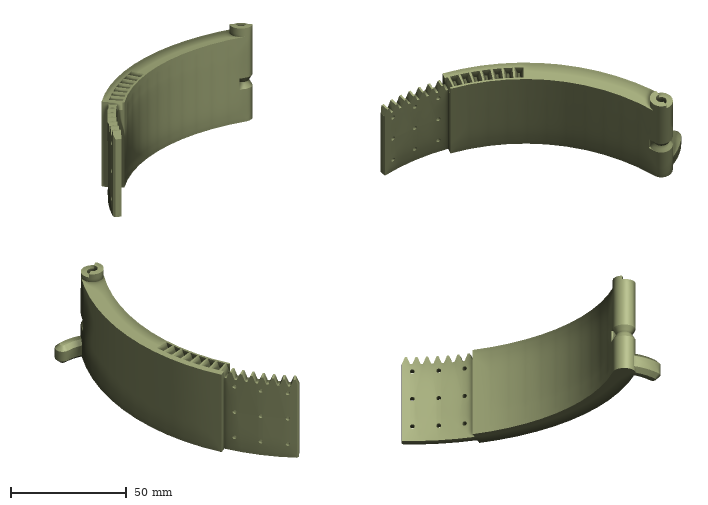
import cadquery as cq
import math

HINGE_DIAMETER = 10.0
HINGE_RADIUS = HINGE_DIAMETER / 2
HINGE_HEIGHT = 44.0
STEP_HEIGHT = 1.7
STEP_ANGLE = 56.0
BORE_DIAMETER = 4.6
BORE_DEPTH = 10.0
BORE_TIP_DIAMETER = 3.4
BORE_TIP_DEPTH = 19.9

ARC_RADIUS = 95.5
HINGE_ANGLE = 171.0
BODY_SPAN = 59.0
BODY_END_ANGLE = HINGE_ANGLE + BODY_SPAN
BODY_HEIGHT = 40.0
BODY_OUTER_RADIUS = ARC_RADIUS + HINGE_RADIUS
BODY_INNER_RADIUS = ARC_RADIUS - HINGE_RADIUS
BODY_BOTTOM_CHAMFER = 0.3

PLATE_OUTER_RADIUS = 97.1
PLATE_THICKNESS = 3.7
PLATE_INNER_RADIUS = PLATE_OUTER_RADIUS - PLATE_THICKNESS
PLATE_SPAN = 19.6
PLATE_END_ANGLE = BODY_END_ANGLE + PLATE_SPAN
PLATE_OVERLAP = 0.5
PLATE_END_CHAMFER = 0.9

TEETH_PER_SPAN = 7
TOOTH_PITCH = PLATE_SPAN / TEETH_PER_SPAN
RACK_OFFSET = 0.3
FIRST_GAP_ANGLE = BODY_END_ANGLE - PLATE_SPAN + RACK_OFFSET
GAP_DEPTH = 3.4
GAP_TOP_WIDTH = 3.8
GAP_BOTTOM_WIDTH = 1.0
RACK_OUTER_RADIUS = 97.5
RACK_INNER_RADIUS = 91.4

PIN_DIAMETER = 2.0
PIN_ANGLE_STEP = 7.0
PIN_HEIGHT_STEP = 13.0

LEVER_RADIUS = 22.1
LEVER_START_ANGLE = 80.0
LEVER_OFFSET = 0.3
LEVER_SPAN = 37.5
LEVER_WIDTH = 6.7
LEVER_HEIGHT = 9.0
LEVER_CHAMFER = 2.0

GROOVE_HEIGHT = 18.0
GROOVE_WIDTH = 5.3
GROOVE_ROOT_RADIUS = 3.4
GROOVE_REACH = 7.7
GROOVE_WALL_Y = -3.7
GROOVE_WALL_CORNER_X = -4.3
GROOVE_WALL_DROP = 2.4


def polar(radius, angle, center=(0, 0)):
    a = math.radians(angle)
    return (center[0] + radius * math.cos(a), center[1] + radius * math.sin(a))


ARC_CENTER = polar(ARC_RADIUS, HINGE_ANGLE + 180)


def arc_band(inner, outer, start, end, height):
    """Upright band between two arcs about the body's arc centre."""
    middle = (start + end) / 2
    return (
        cq.Workplane("XY")
        .moveTo(*polar(inner, start, ARC_CENTER))
        .lineTo(*polar(outer, start, ARC_CENTER))
        .threePointArc(polar(outer, middle, ARC_CENTER), polar(outer, end, ARC_CENTER))
        .lineTo(*polar(inner, end, ARC_CENTER))
        .threePointArc(polar(inner, middle, ARC_CENTER), polar(inner, start, ARC_CENTER))
        .close()
        .extrude(height)
    )


def radial_plane(angle, radius, height):
    """Plane facing outward from the arc centre, with its local Y axis up."""
    x, y = polar(radius, angle, ARC_CENTER)
    a = math.radians(angle)
    return cq.Plane(
        origin=(x, y, height),
        xDir=(-math.sin(a), math.cos(a), 0),
        normal=(math.cos(a), math.sin(a), 0),
    )


def body():
    band = arc_band(BODY_INNER_RADIUS, BODY_OUTER_RADIUS, HINGE_ANGLE, BODY_END_ANGLE, BODY_HEIGHT)
    outer_point = polar(BODY_OUTER_RADIUS, (HINGE_ANGLE + BODY_END_ANGLE) / 2, ARC_CENTER)
    bottom_edge = cq.selectors.NearestToPointSelector((*outer_point, 0))
    return band.faces("<Z").edges(bottom_edge).chamfer(BODY_BOTTOM_CHAMFER)


def plate():
    band = arc_band(
        PLATE_INNER_RADIUS,
        PLATE_OUTER_RADIUS,
        BODY_END_ANGLE - PLATE_OVERLAP,
        PLATE_END_ANGLE,
        BODY_HEIGHT,
    )
    outer_corner = polar(PLATE_OUTER_RADIUS, PLATE_END_ANGLE, ARC_CENTER)
    corner_edge = cq.selectors.NearestToPointSelector((*outer_corner, BODY_HEIGHT / 2))
    return band.edges("|Z").edges(corner_edge).chamfer(PLATE_END_CHAMFER)


def tooth_gap(angle):
    """Trapezoidal gap, narrow at the bottom, running radially through the rack."""
    top = GAP_TOP_WIDTH / 2
    bottom = GAP_BOTTOM_WIDTH / 2
    return (
        cq.Workplane(radial_plane(angle, RACK_INNER_RADIUS, BODY_HEIGHT))
        .polyline([(-top, 0), (-bottom, -GAP_DEPTH), (bottom, -GAP_DEPTH), (top, 0)])
        .close()
        .extrude(RACK_OUTER_RADIUS - RACK_INNER_RADIUS)
    )


def pin_hole(angle, height):
    return (
        cq.Workplane(radial_plane(angle, BODY_INNER_RADIUS, height))
        .circle(PIN_DIAMETER / 2)
        .extrude(BODY_OUTER_RADIUS - BODY_INNER_RADIUS)
    )


def lever():
    center = polar(LEVER_RADIUS, LEVER_START_ANGLE + 180, (0, LEVER_OFFSET))
    inner = LEVER_RADIUS - LEVER_WIDTH / 2
    outer = LEVER_RADIUS + LEVER_WIDTH / 2
    end = LEVER_START_ANGLE + LEVER_SPAN
    middle = (LEVER_START_ANGLE + end) / 2
    tip = polar(LEVER_WIDTH / 2, end + 90, polar(LEVER_RADIUS, end, center))
    return (
        cq.Workplane("XY")
        .moveTo(*polar(inner, LEVER_START_ANGLE, center))
        .lineTo(*polar(outer, LEVER_START_ANGLE, center))
        .threePointArc(polar(outer, middle, center), polar(outer, end, center))
        .threePointArc(tip, polar(inner, end, center))
        .threePointArc(polar(inner, middle, center), polar(inner, LEVER_START_ANGLE, center))
        .close()
        .extrude(LEVER_HEIGHT)
        .faces("<Z or >Z")
        .chamfer(LEVER_CHAMFER)
    )


def hinge_step():
    """Block that lowers the half of the hinge top on the lever side."""
    size = 2 * HINGE_DIAMETER
    return (
        cq.Workplane("XY", origin=(0, 0, HINGE_HEIGHT - STEP_HEIGHT))
        .transformed(rotate=(0, 0, STEP_ANGLE))
        .rect(size, size / 2)
        .extrude(size)
        .translate((*polar(size / 4, STEP_ANGLE + 90), 0))
    )


def hinge_bore():
    top = cq.Workplane("XY", origin=(0, 0, HINGE_HEIGHT))
    wide = top.circle(BORE_DIAMETER / 2).extrude(-BORE_DEPTH)
    narrow = top.circle(BORE_TIP_DIAMETER / 2).extrude(-BORE_TIP_DEPTH)
    return wide.union(narrow)


def hinge_groove():
    half = GROOVE_WIDTH / 2
    ring = (
        cq.Workplane("XZ", origin=(0, 0, GROOVE_HEIGHT))
        .moveTo(GROOVE_ROOT_RADIUS, 0)
        .lineTo(HINGE_RADIUS, half)
        .lineTo(GROOVE_REACH, half)
        .lineTo(GROOVE_REACH, -half)
        .lineTo(HINGE_RADIUS, -half)
        .close()
        .revolve(360, (0, 0, 0), (0, 1, 0))
    )
    limit = (
        cq.Workplane("XY")
        .moveTo(-GROOVE_REACH, GROOVE_REACH)
        .lineTo(GROOVE_REACH, GROOVE_REACH)
        .lineTo(GROOVE_REACH, GROOVE_WALL_Y)
        .lineTo(GROOVE_WALL_CORNER_X, GROOVE_WALL_Y)
        .lineTo(-GROOVE_REACH, GROOVE_WALL_Y - GROOVE_WALL_DROP)
        .close()
        .extrude(HINGE_HEIGHT)
    )
    return ring.intersect(limit)


hinge = cq.Workplane("XY").circle(HINGE_RADIUS).extrude(HINGE_HEIGHT)
result = body().union(plate()).union(hinge).cut(hinge_groove()).union(lever())
result = result.cut(hinge_step()).cut(hinge_bore())

for i in range(2 * TEETH_PER_SPAN + 1):
    result = result.cut(tooth_gap(FIRST_GAP_ANGLE + i * TOOTH_PITCH))

plate_middle = BODY_END_ANGLE + PLATE_SPAN / 2
for column in (-1, 0, 1):
    for row in (-1, 0, 1):
        angle = plate_middle + column * PIN_ANGLE_STEP
        result = result.cut(pin_hole(angle, BODY_HEIGHT / 2 + row * PIN_HEIGHT_STEP))